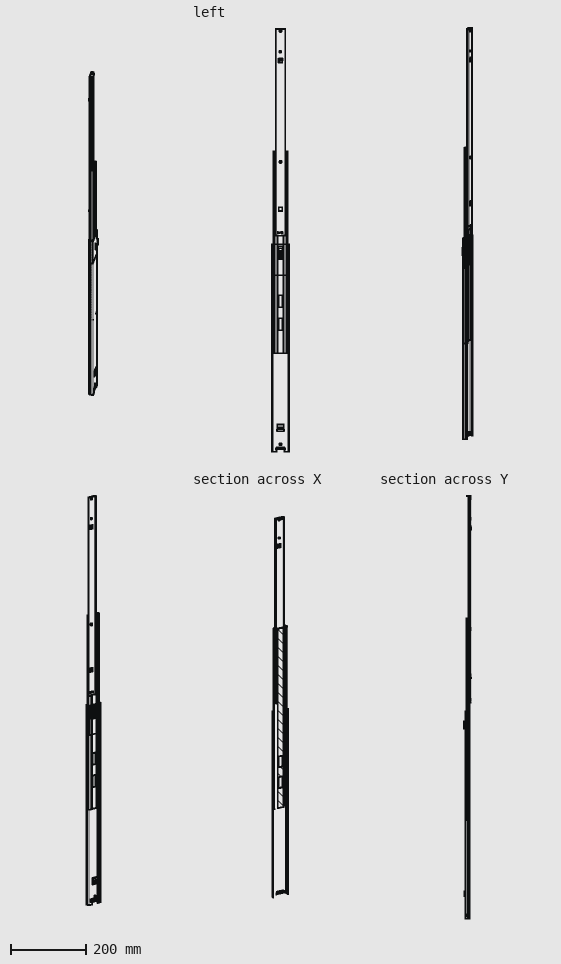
import cadquery as cq


TOTAL_LENGTH = 1125.0
OVERALL_DEPTH = 21.01
OVERLAP = 0.5

SHEET = 1.2
BEND_RADIUS = 2.0

OUTER_HALF_WIDTH = 45.46 / 2
OUTER_DEPTH = 12.7
OUTER_TOP = 552.0
OUTER_MOUTH_HALF = 20.0
OUTER_LIP_BEVEL = (4.5, 2.0)
OUTER_NOTCH_HALF = 10.0
OUTER_NOTCH_TOP = 6.5
OUTER_BACK = OUTER_DEPTH / 2
OUTER_FRONT = -OUTER_DEPTH / 2
OUTER_WEB_INSIDE = OUTER_BACK - SHEET
WALL_HOOK_TIP = 10.5

MID_HALF_WIDTH = 19.5
MID_FRONT = -5.4
MID_BACK = 3.9
MID_BOTTOM = 263.0
MID_TOP = 800.0
MID_MOUTH_HALF = 15.5
MID_LIP_BEVEL = (3.5, 2.5)
RIB_HALF_WIDTH = 8.8
MID_WEB_INSIDE = MID_BACK - SHEET
RIB_FACE = MID_WEB_INSIDE - SHEET
MID_SLOT_WIDTH = 10.0
MID_SLOT_LENGTH = 32.0
MID_SLOT_HEIGHTS = (339.0, 401.0)

INNER_HALF_WIDTH = 12.8
INNER_FRONT = -8.0
INNER_BACK = -1.5
INNER_BOTTOM = 575.0
INNER_MOUTH_HALF = 11.0
INNER_LIP_BEVEL = (1.8, 1.0)
INNER_HOOK_TIP = WALL_HOOK_TIP - OVERALL_DEPTH
END_TAB_BACK = 1.5
END_TAB_HALF_WIDTH = 6.0
END_TAB_THICKNESS = 1.5
INNER_WINDOW = 10.0
INNER_WINDOW_HEIGHTS = (645.0, 1040.5)
INNER_HOLES = (
    (0.0, 1119.0, 5.0),
    (0.5, 1064.0, 4.5),
    (0.0, 771.0, 6.0),
    (5.0, 583.0, 3.5),
    (-3.5, 583.0, 4.5),
)

RETAINER_LENGTH = 82.0
RETAINER_SHEET = 0.8


def box(x_range, y_range, z_range):
    """Rectangular block between the given limits."""
    size = [high - low for low, high in (x_range, y_range, z_range)]
    corner = (x_range[0], y_range[0], z_range[0])
    return cq.Workplane("XY").box(*size, centered=False).translate(corner)


def channel_block(x_range, half_width, z_range, bevel, radius, opens_to_front):
    """Solid bar along Z, beveled on the mouth side and rounded on the web side."""
    mouth_side, web_side = ("<X", ">X") if opens_to_front else (">X", "<X")
    bar = box(x_range, (-half_width, half_width), z_range)
    bar = bar.edges(f"|Z and {web_side}").fillet(radius)
    depth, rise = bevel
    x_mouth, inward = (x_range[0], 1) if opens_to_front else (x_range[1], -1)
    for side in (1, -1):
        corner = cq.Workplane("XY", origin=(0, 0, z_range[0])).polyline([
            (x_mouth, side * half_width),
            (x_mouth + inward * depth, side * half_width),
            (x_mouth, side * (half_width - rise)),
        ]).close().extrude(z_range[1] - z_range[0])
        bar = bar.cut(corner)
    return bar


def channel(x_range, half_width, z_range, bevel, mouth_half, opens_to_front):
    """Bent sheet C channel with lips slanting in beside its mouth."""
    x_low, x_high = x_range
    skin = channel_block(x_range, half_width, z_range, bevel, BEND_RADIUS, opens_to_front)
    core_bevel = [length - SHEET / 2 for length in bevel]
    core_x = (x_low + SHEET, x_high - SHEET)
    core = channel_block(
        core_x, half_width - SHEET, z_range, core_bevel, BEND_RADIUS - SHEET, opens_to_front
    )
    middle = (x_low + x_high) / 2
    mouth_x = (x_low, middle) if opens_to_front else (middle, x_high)
    mouth = box(mouth_x, (-mouth_half, mouth_half), z_range)
    return skin.cut(core).cut(mouth)


def cross_hole(y, z, diameter, x_range):
    """Cylinder along X used to drill a web."""
    depth = x_range[1] - x_range[0]
    start = cq.Workplane("YZ", origin=(x_range[0], y, z))
    return start.circle(diameter / 2).extrude(depth)



LOUVRE_HALF_WIDTH = 9.0
LOUVRE_BOTTOM = 55.0
LOUVRE_TOP = 73.0
LOUVRE_FACE = 9.3
LOUVRE_GAP = 5.0
OUTER_HOLE_HEIGHT = 20.5
OUTER_HOLE_DIAMETER = 5.0
HOOK_BOTTOM = 505.0
HOOK_TOP = 525.0
LONG_HOOK_Y = (-2.5, -1.0)
SHORT_HOOK_Y = (17.0, 18.5)


def make_outer_member():
    z_range = (0, OUTER_TOP)
    body = channel(
        (OUTER_FRONT, OUTER_BACK), OUTER_HALF_WIDTH, z_range, OUTER_LIP_BEVEL, OUTER_MOUTH_HALF, True
    )
    web_x = (OUTER_WEB_INSIDE, OUTER_BACK)
    body = body.cut(cross_hole(0, OUTER_HOLE_HEIGHT, OUTER_HOLE_DIAMETER, web_x))
    notch_y = (-OUTER_NOTCH_HALF, OUTER_NOTCH_HALF)
    body = body.cut(box(web_x, notch_y, (0, OUTER_NOTCH_TOP)))

    louvre_y = (-LOUVRE_HALF_WIDTH, LOUVRE_HALF_WIDTH)
    body = body.cut(box(web_x, louvre_y, (LOUVRE_BOTTOM, LOUVRE_TOP)))
    leg = box((OUTER_WEB_INSIDE, LOUVRE_FACE), louvre_y, (LOUVRE_TOP - SHEET, LOUVRE_TOP + OVERLAP))
    plate_z = (LOUVRE_BOTTOM + LOUVRE_GAP, LOUVRE_TOP + OVERLAP)
    plate = box((LOUVRE_FACE - SHEET, LOUVRE_FACE), louvre_y, plate_z)
    middle_z = (LOUVRE_BOTTOM + LOUVRE_TOP) / 2
    bar = box(web_x, (-LOUVRE_HALF_WIDTH - OVERLAP, LOUVRE_HALF_WIDTH + OVERLAP),
              (middle_z - SHEET, middle_z + SHEET))
    body = body.union(leg).union(plate).union(bar)

    for hook_y, tip in ((LONG_HOOK_Y, WALL_HOOK_TIP), (SHORT_HOOK_Y, LOUVRE_FACE)):
        body = body.union(box((OUTER_BACK - OVERLAP, tip), hook_y, (HOOK_BOTTOM, HOOK_TOP)))
    return body



def make_intermediate_member():
    z_range = (MID_BOTTOM, MID_TOP)
    body = channel(
        (MID_FRONT, MID_BACK), MID_HALF_WIDTH, z_range, MID_LIP_BEVEL, MID_MOUTH_HALF, True
    )
    rib_y = (-RIB_HALF_WIDTH, RIB_HALF_WIDTH)
    body = body.union(box((RIB_FACE, MID_BACK), rib_y, z_range))
    groove_half = RIB_HALF_WIDTH - SHEET
    body = body.cut(box((MID_WEB_INSIDE, MID_BACK), (-groove_half, groove_half), z_range))
    for height in MID_SLOT_HEIGHTS:
        slot_z = (height - MID_SLOT_LENGTH / 2, height + MID_SLOT_LENGTH / 2)
        body = body.cut(box((RIB_FACE, MID_BACK), (-MID_SLOT_WIDTH / 2, MID_SLOT_WIDTH / 2), slot_z))
    return body



LIP_THICKNESS = 1.5
HOOK_HEIGHT = 5.5
HOOK_Y = (-5.0, 2.0)


def make_inner_member():
    z_range = (INNER_BOTTOM, TOTAL_LENGTH)
    body = channel(
        (INNER_FRONT, INNER_BACK), INNER_HALF_WIDTH, z_range, INNER_LIP_BEVEL, INNER_MOUTH_HALF, False
    )
    web_x = (INNER_FRONT, INNER_FRONT + SHEET)
    tab_y = (-END_TAB_HALF_WIDTH, END_TAB_HALF_WIDTH)
    tab_z = (TOTAL_LENGTH - END_TAB_THICKNESS, TOTAL_LENGTH)
    body = body.union(box((INNER_FRONT, END_TAB_BACK), tab_y, tab_z))
    for y, z, diameter in INNER_HOLES:
        body = body.cut(cross_hole(y, z, diameter, web_x))

    half = INNER_WINDOW / 2
    for height in INNER_WINDOW_HEIGHTS:
        body = body.cut(box(web_x, (-half, half), (height - half, height + half)))

    lip_x = (INNER_HOOK_TIP, INNER_FRONT + SHEET)
    upper = INNER_WINDOW_HEIGHTS[1]
    lip_y = (half - LIP_THICKNESS, half + OVERLAP)
    side_lip = box(lip_x, lip_y, (upper + half - LIP_THICKNESS, upper + half))
    hook_z = (upper - half - OVERLAP, upper - half + HOOK_HEIGHT)
    body = body.union(side_lip).union(box(lip_x, HOOK_Y, hook_z))

    lower = INNER_WINDOW_HEIGHTS[0] - half
    return body.union(box(lip_x, HOOK_Y, (lower - OVERLAP, lower + LIP_THICKNESS)))



def make_retainer(x_range, half_width, top):
    z_range = (top - RETAINER_LENGTH, top)
    body = box(x_range, (-half_width, half_width), z_range)
    inside = half_width - RETAINER_SHEET
    return body.cut(box((x_range[0], x_range[1] - RETAINER_SHEET), (-inside, inside), z_range))


OUTER_RETAINER_X = (-2.0, MID_BACK + 1.0)
OUTER_RETAINER_HALF_WIDTH = 21.0
INNER_RETAINER_X = (-3.5, 0.8)
INNER_RETAINER_HALF_WIDTH = 15.0
INNER_RETAINER_SETBACK = 3.0



STOP_BASE_HALF_WIDTH = 13.0
STOP_BASE_TOP = 9.5
STOP_BASE_FRONT = 1.0
STOP_HEAD_HALF_WIDTH = 10.0
STOP_HEAD_TOP = 12.5
STOP_HEAD_FRONT = -2.0


def make_end_stop():
    base_y = (-STOP_BASE_HALF_WIDTH, STOP_BASE_HALF_WIDTH)
    base = box((STOP_BASE_FRONT, OUTER_WEB_INSIDE), base_y, (OUTER_NOTCH_TOP, STOP_BASE_TOP))
    head_y = (-STOP_HEAD_HALF_WIDTH, STOP_HEAD_HALF_WIDTH)
    head_z = (STOP_BASE_TOP - OVERLAP, STOP_HEAD_TOP)
    return base.union(box((STOP_HEAD_FRONT, OUTER_WEB_INSIDE), head_y, head_z))



LATCH_FRONT = -3.0
LATCH_HALF_WIDTH = 6.5
LATCH_BOTTOM = 512.0
LATCH_TOP = 547.0
LATCH_POCKET_DEPTH = 2.5
LATCH_POCKETS = ((8.0, 535.0, 541.0), (8.0, 528.0, 531.0), (4.0, 515.0, 525.0))


def make_latch():
    latch_y = (-LATCH_HALF_WIDTH, LATCH_HALF_WIDTH)
    body = box((LATCH_FRONT, RIB_FACE), latch_y, (LATCH_BOTTOM, LATCH_TOP))
    pocket_x = (LATCH_FRONT, LATCH_FRONT + LATCH_POCKET_DEPTH)
    for width, bottom, top in LATCH_POCKETS:
        body = body.cut(box(pocket_x, (-width / 2, width / 2), (bottom, top)))
    return body


outer_member = make_outer_member()
intermediate_member = make_intermediate_member()
inner_member = make_inner_member()
outer_retainer = make_retainer(OUTER_RETAINER_X, OUTER_RETAINER_HALF_WIDTH, OUTER_TOP)
inner_retainer = make_retainer(
    INNER_RETAINER_X, INNER_RETAINER_HALF_WIDTH, MID_TOP - INNER_RETAINER_SETBACK
)
end_stop = make_end_stop()
latch = make_latch()

result = cq.Compound.makeCompound([
    outer_member.val(),
    intermediate_member.val(),
    inner_member.val(),
    outer_retainer.val(),
    inner_retainer.val(),
    end_stop.val(),
    latch.val(),
])